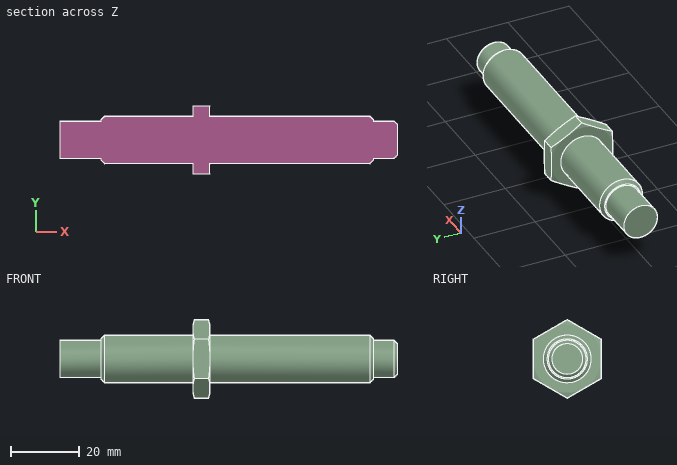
import cadquery as cq
import math

overall_length = 99.0
plain_pin_length = 12.0
body_length = 80.0
nut_start = 39.0
nut_thickness = 5.0

pin_diameter = 11.0
body_diameter = 14.0
body_chamfer = 1.1
tip_chamfer = 1.0

nut_sides = 6
nut_across_flats = 20.0
nut_across_corners = nut_across_flats / math.cos(math.pi / nut_sides)
corner_turn = 90.0
nut_bevel_angle = 15.0


def rod(start, length, diameter):
    """Round bar along +X."""
    return cq.Workplane("YZ").workplane(offset=start).circle(diameter / 2).extrude(length)


def stepped_shaft():
    """Pin through the full length with a thicker body; chamfered body ends and tip."""
    pin = rod(0, overall_length, pin_diameter).faces(">X").chamfer(tip_chamfer)
    body = rod(plain_pin_length, body_length, body_diameter)
    body = body.faces("<X or >X").chamfer(body_chamfer)
    return pin.union(body)


def hex_nut():
    """Hexagon whose corners are bevelled by a shallow cone on both faces."""
    flat_radius = nut_across_flats / 2
    corner_radius = nut_across_corners / 2
    bevel_depth = (corner_radius - flat_radius) * math.tan(math.radians(nut_bevel_angle))
    nut_end = nut_start + nut_thickness

    hexagon = (
        cq.Workplane("YZ")
        .workplane(offset=nut_start)
        .polygon(nut_sides, nut_across_corners)
        .extrude(nut_thickness)
        .rotate((0, 0, 0), (1, 0, 0), corner_turn)
    )
    bevel_envelope = (
        cq.Workplane("XY")
        .moveTo(nut_start, 0)
        .lineTo(nut_start, flat_radius)
        .lineTo(nut_start + bevel_depth, corner_radius)
        .lineTo(nut_end - bevel_depth, corner_radius)
        .lineTo(nut_end, flat_radius)
        .lineTo(nut_end, 0)
        .close()
        .revolve(360, (0, 0, 0), (1, 0, 0))
    )
    return hexagon.intersect(bevel_envelope)


result = stepped_shaft().union(hex_nut())